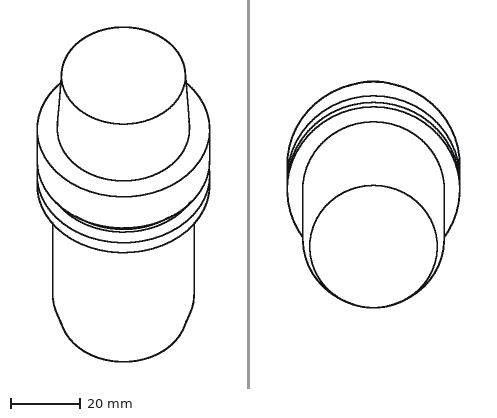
import cadquery as cq

total_length = 110.0
shank_length = 25.0
flange_height = 26.0
flange_top = total_length - shank_length
flange_bottom = flange_top - flange_height

body_diameter = 41.0
nose_diameter = 37.0
nose_height = 8.0

flange_diameter = 50.0
groove_diameter = 43.0
lower_rim_height = 4.6
upper_rim_height = 14.5
bevel_height = 1.8
bevel_inner_diameter = 45.0

collar_diameter = 38.3
collar_height = 2.0
shank_top_diameter = 36.0

profile = [
    (nose_diameter, 0),
    (body_diameter, nose_height),
    (body_diameter, flange_bottom),
    (flange_diameter, flange_bottom),
    (flange_diameter, flange_bottom + lower_rim_height),
    (bevel_inner_diameter, flange_bottom + lower_rim_height + bevel_height),
    (groove_diameter, flange_bottom + lower_rim_height + bevel_height),
    (groove_diameter, flange_top - upper_rim_height - bevel_height),
    (bevel_inner_diameter, flange_top - upper_rim_height - bevel_height),
    (flange_diameter, flange_top - upper_rim_height),
    (flange_diameter, flange_top),
    (collar_diameter, flange_top),
    (collar_diameter, flange_top + collar_height),
    (shank_top_diameter, total_length),
]

outline = [(0, 0)] + [(d / 2, z) for d, z in profile] + [(0, total_length)]
result = cq.Workplane("XZ").polyline(outline).close().revolve(360, (0, 0, 0), (0, 1, 0))